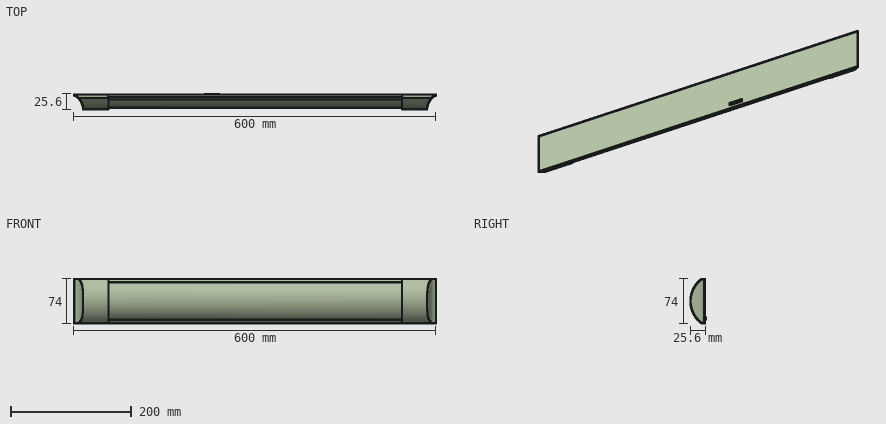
import cadquery as cq

LENGTH = 600.0
HEIGHT = 74.0
TOTAL_DEPTH = 25.64

PAD_RAISE = 1.0
PAD_LENGTH = 23.0
PAD_HEIGHT = 3.5
PAD_CENTER_X = -71.5
PAD_CENTER_Z = -28.5

CAP_DEPTH = TOTAL_DEPTH - PAD_RAISE
CAP_LENGTH = 57.0
CAP_SIDE_DEPTH = 5.5
CAP_INNER_FILLET = 1.5

LIP_DEPTH = 1.8
BEVEL_LENGTH = 2.7
BEVEL_DEPTH = 2.6
CURVE_START = 5.6
CURVE_START_DEPTH = 4.2
CURVE_END = 15.0
CURVE_MID_LENGTH = 11.8
CURVE_MID_DEPTH = 12.5

BODY_SIDE_DEPTH = 4.5
DIFFUSER_HEIGHT = 63.0
DIFFUSER_START_DEPTH = 7.5
RAIL_EDGE_DEPTH = 8.5
BODY_DEPTH = 22.2


def extrude_along_length(section, length):
    """Extrude a closed YZ section symmetrically about X = 0."""
    return section.close().extrude(length / 2, both=True)


def domed_section(height, side_depth, depth):
    """Flat back and sides, closed by a circular dome towards -Y."""
    half = height / 2
    return (
        cq.Workplane("YZ")
        .moveTo(0, -half)
        .lineTo(-side_depth, -half)
        .threePointArc((-depth, 0), (-side_depth, half))
        .lineTo(0, half)
    )


def make_body():
    """Base rail with sloping shoulders, and the diffuser dome between them."""
    half = HEIGHT / 2
    half_diffuser = DIFFUSER_HEIGHT / 2
    rail_section = (
        cq.Workplane("YZ")
        .moveTo(0, -half)
        .lineTo(-BODY_SIDE_DEPTH, -half)
        .lineTo(-RAIL_EDGE_DEPTH, -half_diffuser)
        .lineTo(-RAIL_EDGE_DEPTH, half_diffuser)
        .lineTo(-BODY_SIDE_DEPTH, half)
        .lineTo(0, half)
    )
    body_length = LENGTH - 2 * CAP_LENGTH
    rail = extrude_along_length(rail_section, body_length)
    diffuser_section = domed_section(DIFFUSER_HEIGHT, DIFFUSER_START_DEPTH, BODY_DEPTH)
    return rail.union(extrude_along_length(diffuser_section, body_length))


def make_cap_outline():
    """XY outline of the cap at the -X end, extruded through the full height."""
    outer = -LENGTH / 2
    inner = outer + CAP_LENGTH
    return (
        cq.Workplane("XY")
        .moveTo(outer, 0)
        .lineTo(outer, -LIP_DEPTH)
        .lineTo(outer + BEVEL_LENGTH, -BEVEL_DEPTH)
        .lineTo(outer + CURVE_START, -CURVE_START_DEPTH)
        .threePointArc(
            (outer + CURVE_MID_LENGTH, -CURVE_MID_DEPTH),
            (outer + CURVE_END, -CAP_DEPTH),
        )
        .lineTo(inner, -CAP_DEPTH)
        .lineTo(inner, 0)
        .close()
        .extrude(HEIGHT / 2, both=True)
    )


def make_cap():
    """Domed end cap at the -X end with its flared outer end and rounded inner rim."""
    dome = extrude_along_length(domed_section(HEIGHT, CAP_SIDE_DEPTH, CAP_DEPTH), LENGTH)
    cap = dome.intersect(make_cap_outline())
    return cap.faces(">X").edges("<Y").fillet(CAP_INNER_FILLET)


def make_pad():
    """Shallow pad raised from the back face."""
    return (
        cq.Workplane("XY")
        .box(PAD_LENGTH, 2 * PAD_RAISE, PAD_HEIGHT)
        .translate((PAD_CENTER_X, 0, PAD_CENTER_Z))
    )


cap = make_cap()
result = make_body().union(cap).union(cap.mirror("YZ")).union(make_pad())